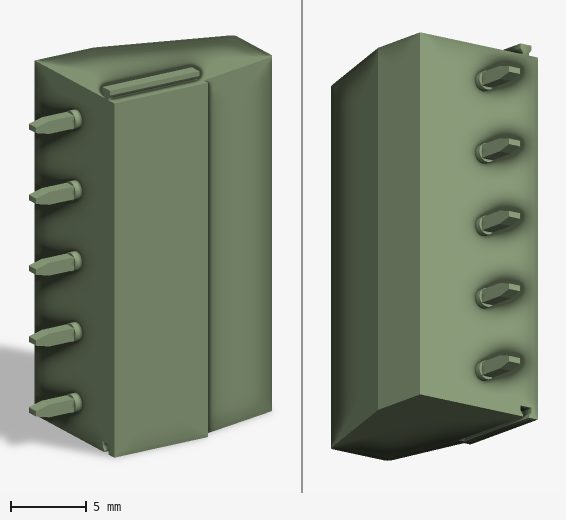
import cadquery as cq


pole_count = 5
total_height = 25.75
rail_height = 0.72
body_height = total_height - rail_height
pole_pitch = body_height / pole_count
first_pole_z = pole_pitch / 2
body_width = 9.8
total_depth = 17.3
pin_length = 3.5
body_depth = total_depth - pin_length

left_wall_depth = 4.6
crown_left = 3.0
crown_right = 7.85
crown_fillet = 0.39
step_width = 0.55
step_x = body_width - step_width
step_depth = 7.35

pin_x = 5.2
collar_diameter = 1.29
collar_length = 0.51
pin_thickness = 0.9
tip_thickness = 0.39
tip_length = 1.03

rail_head_width = 0.9
rail_foot_width = 0.5
rail_head_height = 0.33
rail_foot_height = 0.13
rail_length = 7.03
rail_x = step_x - rail_head_width / 2


def make_housing():
    """Extruded housing with tapered flanks and a rounded crown."""
    housing = (
        cq.Workplane("XY")
        .moveTo(0, 0)
        .lineTo(body_width, 0)
        .lineTo(body_width, step_depth)
        .lineTo(step_x, step_depth)
        .lineTo(crown_right, body_depth)
        .lineTo(crown_left, body_depth)
        .lineTo(0, left_wall_depth)
        .close()
        .extrude(body_height)
    )
    return housing.faces(">Y").edges("|Z").fillet(crown_fillet)


def make_rail(base_z):
    """Bar flaring from a narrow foot on base_z to a wide head, running from the pin face toward +Y."""
    half_head = rail_head_width / 2
    half_foot = rail_foot_width / 2
    foot_top = base_z + rail_foot_height
    head_bottom = base_z + rail_height - rail_head_height
    head_top = base_z + rail_height
    return (
        cq.Workplane("XZ")
        .moveTo(rail_x - half_foot, base_z)
        .lineTo(rail_x + half_foot, base_z)
        .lineTo(rail_x + half_foot, foot_top)
        .lineTo(rail_x + half_head, head_bottom)
        .lineTo(rail_x + half_head, head_top)
        .lineTo(rail_x - half_head, head_top)
        .lineTo(rail_x - half_head, head_bottom)
        .lineTo(rail_x - half_foot, foot_top)
        .close()
        .extrude(-rail_length)
    )


def make_pin(center_z):
    """Solder pin: round collar and a square shank narrowing to a flat tip."""
    collar = (
        cq.Workplane("XZ")
        .center(pin_x, center_z)
        .circle(collar_diameter / 2)
        .extrude(collar_length)
    )
    half_pin = pin_thickness / 2
    half_tip = tip_thickness / 2
    taper_start = tip_length - pin_length
    shank = (
        cq.Workplane("YZ", origin=(pin_x, 0, center_z))
        .moveTo(0, -half_pin)
        .lineTo(0, half_pin)
        .lineTo(taper_start, half_pin)
        .lineTo(-pin_length, half_tip)
        .lineTo(-pin_length, -half_tip)
        .lineTo(taper_start, -half_pin)
        .close()
        .extrude(half_pin, both=True)
    )
    return collar.union(shank)


result = make_housing().cut(make_rail(0)).union(make_rail(body_height))

for pole in range(pole_count):
    result = result.union(make_pin(first_pole_z + pole * pole_pitch))